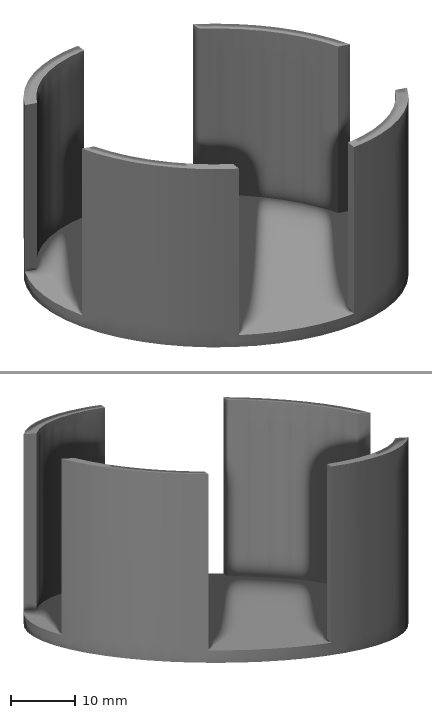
import cadquery as cq

outer_diameter = 60.0
total_height = 30.0
wall_thickness = 2.0
floor_thickness = 2.0
slot_width = 20.0

inner_diameter = outer_diameter - 2 * wall_thickness
wall_height = total_height - floor_thickness


def make_cup():
    """Round cup, open at the top, with its floor resting on Z = 0."""
    body = cq.Workplane("XY").circle(outer_diameter / 2).extrude(total_height)
    cavity = (
        cq.Workplane("XY", origin=(0, 0, floor_thickness))
        .circle(inner_diameter / 2)
        .extrude(wall_height)
    )
    return body.cut(cavity)


def make_slot(length_x, length_y):
    """Box above the floor that opens the wall on two opposite sides."""
    return (
        cq.Workplane("XY", origin=(0, 0, floor_thickness))
        .rect(length_x, length_y)
        .extrude(wall_height)
    )


result = (
    make_cup()
    .cut(make_slot(outer_diameter, slot_width))
    .cut(make_slot(slot_width, outer_diameter))
)